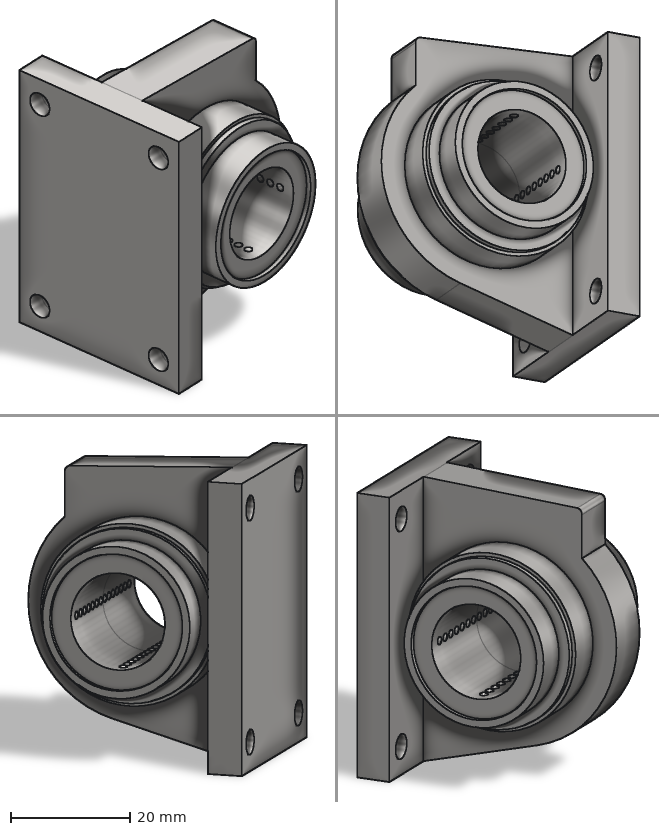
import cadquery as cq
import math


plate_width = 35.0
plate_height = 50.0
plate_thickness = 6.0
axis_to_plate = 16.0
hole_diameter = 4.3
hole_spacing_x = 26.0
hole_spacing_z = 40.0

web_thickness = 8.9
web_radius = 20.0
shoulder_y = 13.55
shoulder_z = 23.4
shoulder_fillet = 1.0

barrel_radius = 15.6
barrel_length = 22.1
collar_radius = 14.95
collar_length = 24.3

bearing_radius = 13.0
bearing_length = 36.0
seal_radius = 11.7
seal_recess = 0.9
bore_radius = 8.3

ball_radius = 1.0
shaft_radius = 8.0
ball_row_count = 4
balls_per_row = 14
ball_row_length = 28.35


def cylinder_along_x(radius, length):
    """Cylinder on the bearing axis, centred on the origin."""
    return cq.Workplane("YZ").circle(radius).extrude(length / 2, both=True)


def make_plate():
    plate = cq.Workplane("XY").box(plate_width, plate_thickness, plate_height)
    holes = (
        cq.Workplane("XZ")
        .rarray(hole_spacing_x, hole_spacing_z, 2, 2)
        .circle(hole_diameter / 2)
        .extrude(plate_thickness, both=True)
    )
    return plate.cut(holes).translate((0, -axis_to_plate - plate_thickness / 2, 0))


def make_web():
    half_height = plate_height / 2
    corner_distance = math.hypot(axis_to_plate, half_height)
    corner_angle = math.atan2(-half_height, -axis_to_plate)
    tangent_angle = corner_angle + math.acos(web_radius / corner_distance)
    tangent_point = (web_radius * math.cos(tangent_angle), web_radius * math.sin(tangent_angle))
    shoulder_foot_z = math.sqrt(web_radius**2 - shoulder_y**2)

    web = (
        cq.Workplane("YZ")
        .moveTo(-axis_to_plate, -half_height)
        .lineTo(*tangent_point)
        .threePointArc((web_radius, 0), (shoulder_y, shoulder_foot_z))
        .lineTo(shoulder_y, shoulder_z)
        .lineTo(-axis_to_plate, half_height)
        .close()
        .extrude(web_thickness / 2, both=True)
    )
    shoulder_edge = cq.selectors.NearestToPointSelector((0, shoulder_y, shoulder_z))
    return web.edges(shoulder_edge).fillet(shoulder_fillet)


def make_bearing_body():
    barrel = cylinder_along_x(barrel_radius, barrel_length)
    collars = cylinder_along_x(collar_radius, collar_length)
    bearing = cylinder_along_x(bearing_radius, bearing_length)
    return barrel.union(collars).union(bearing)


def cut_bore(body):
    bored = body.cut(cylinder_along_x(bore_radius, bearing_length))
    recess = cylinder_along_x(seal_radius, bearing_length).cut(
        cylinder_along_x(seal_radius, bearing_length - 2 * seal_recess)
    )
    return bored.cut(recess)


def add_balls(body):
    row_radius = shaft_radius + ball_radius
    ball_pitch = ball_row_length / (balls_per_row - 1)
    for row in range(ball_row_count):
        angle = 2 * math.pi * row / ball_row_count
        row_y = row_radius * math.cos(angle)
        row_z = row_radius * math.sin(angle)
        for index in range(balls_per_row):
            ball_x = index * ball_pitch - ball_row_length / 2
            ball = cq.Workplane("XY").sphere(ball_radius).translate((ball_x, row_y, row_z))
            body = body.union(ball)
    return body


housing = make_plate().union(make_web()).union(make_bearing_body())
result = add_balls(cut_bore(housing))